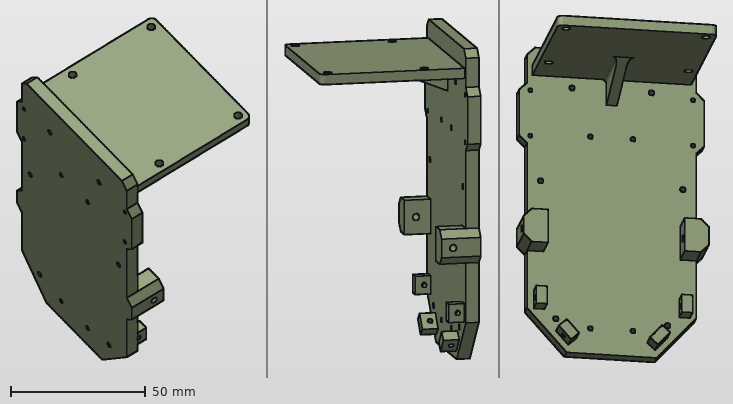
import cadquery as cq
import math

plate_height = 120.0
plate_thickness = 5.0
tab_reach = 3.0
overall_half_width = 70.0 / 2
plate_half_width = overall_half_width - tab_reach
top_chamfer = 3.0
bottom_half_width = 17.0
bevel_height = 16.7

upper_tab_bottom = 82.0
upper_tab_top = 106.0
lower_tab_bottom = 39.4
lower_tab_top = 52.5

shelf_end = 60.0
shelf_half_width = 30.0
shelf_bottom = 109.0
shelf_thickness = 3.8
shelf_corner_radius = 2.0
shelf_hole_diameter = 3.0
shelf_hole_half_span = 26.4
shelf_hole_rows = (19.5, 56.5)

gusset_thickness = 4.0
gusset_length = 25.0
gusset_height = 10.1
gusset_fillet = 1.9

lug_end = 15.0
lug_inner_half_span = 25.8
lug_hole_diameter = 2.5
lug_hole_y = 10.5

small_lug_end = 11.0
small_lug_length = 7.0
small_lug_thickness = 4.1
small_lug_hole_diameter = 1.8
small_lug_hole_y = 7.5
upright_lug_outer_x = 29.5
upright_lug_z = 20.0
bevel_lug_z = 5.6
bevel_lug_setback = 3.4

plate_holes = [
    (30.7, 103.0, 1.5),
    (30.7, 85.0, 1.5),
    (15.0, 104.9, 2.0),
    (26.9, 67.3, 2.0),
    (21.1, 13.1, 2.0),
    (8.0, 86.0, 1.8),
    (8.0, 10.1, 1.8),
]

overlap = 1.2


def extrude_back(points, y_start, y_end):
    """Extrude a closed XZ outline along +Y between two depths."""
    plane = cq.Workplane("XZ", origin=(0, y_start, 0))
    return plane.polyline(points).close().extrude(y_start - y_end)


def with_mirror(body):
    """Join a body with its mirror image about x = 0."""
    return body.union(body.mirror("YZ"))


def tab_side(bottom, top):
    """Right-hand outline of a side tab, from its lower root to its upper root."""
    return [
        (plate_half_width, bottom),
        (overall_half_width, bottom + tab_reach),
        (overall_half_width, top - tab_reach),
        (plate_half_width, top),
    ]


def make_plate():
    right_side = [
        (bottom_half_width, 0),
        (plate_half_width, bevel_height),
        *tab_side(lower_tab_bottom, lower_tab_top),
        *tab_side(upper_tab_bottom, upper_tab_top),
        (plate_half_width, plate_height - top_chamfer),
        (plate_half_width - top_chamfer, plate_height),
    ]
    left_side = [(-x, z) for x, z in reversed(right_side)]
    return extrude_back(right_side + left_side, 0, plate_thickness)


def make_shelf():
    shelf_start = plate_thickness - overlap
    shelf = cq.Workplane("XY", origin=(0, 0, shelf_bottom)).box(
        2 * shelf_half_width, shelf_end - shelf_start, shelf_thickness, centered=(True, False, False)
    )
    shelf = shelf.translate((0, shelf_start, 0))
    shelf = shelf.edges("|Z and >Y").fillet(shelf_corner_radius)
    hole_centers = [
        (side * shelf_hole_half_span, y) for side in (-1, 1) for y in shelf_hole_rows
    ]
    holes = (
        cq.Workplane("XY", origin=(0, 0, shelf_bottom))
        .pushPoints(hole_centers)
        .circle(shelf_hole_diameter / 2)
        .extrude(shelf_thickness)
    )
    return shelf.cut(holes)


def make_gusset():
    half = gusset_thickness / 2
    fillet_edge = half + gusset_fillet
    fillet_bottom = shelf_bottom - gusset_fillet
    gusset_bottom = shelf_bottom - gusset_height
    gusset_end = plate_thickness + gusset_length
    arc_offset = gusset_fillet * (1 - math.sqrt(0.5))
    rib = (
        cq.Workplane("XZ", origin=(0, plate_thickness, 0))
        .moveTo(-half, gusset_bottom)
        .lineTo(half, gusset_bottom)
        .lineTo(half, fillet_bottom)
        .threePointArc((half + arc_offset, shelf_bottom - arc_offset), (fillet_edge, shelf_bottom))
        .lineTo(-fillet_edge, shelf_bottom)
        .threePointArc((-half - arc_offset, shelf_bottom - arc_offset), (-half, fillet_bottom))
        .close()
        .extrude(-gusset_length)
    )
    triangle = (
        cq.Workplane("YZ")
        .polyline([
            (plate_thickness, gusset_bottom),
            (gusset_end, shelf_bottom),
            (plate_thickness, shelf_bottom),
        ])
        .close()
        .extrude(fillet_edge, both=True)
    )
    return rib.intersect(triangle)


def make_side_lug():
    outline = tab_side(lower_tab_bottom, lower_tab_top) + [
        (lug_inner_half_span, lower_tab_top),
        (lug_inner_half_span, lower_tab_bottom),
    ]
    lug = extrude_back(outline, plate_thickness - overlap, lug_end)
    lug_z = (lower_tab_bottom + lower_tab_top) / 2
    hole = (
        cq.Workplane("YZ")
        .center(lug_hole_y, lug_z)
        .circle(lug_hole_diameter / 2)
        .extrude(overall_half_width)
    )
    return lug.cut(hole)


def make_small_lug():
    """Rectangular lug with its outer face on x = 0, centred on z = 0, drilled along X."""
    lug_start = plate_thickness - overlap
    lug = (
        cq.Workplane("XY")
        .box(small_lug_thickness, small_lug_end - lug_start, small_lug_length, centered=(True, False, True))
        .translate((-small_lug_thickness / 2, lug_start, 0))
    )
    hole = (
        cq.Workplane("YZ")
        .center(small_lug_hole_y, 0)
        .circle(small_lug_hole_diameter / 2)
        .extrude(-small_lug_thickness)
    )
    return lug.cut(hole)


def make_bevel_lug():
    bevel_run = plate_half_width - bottom_half_width
    tilt = math.atan2(bevel_run, bevel_height)
    bevel_x = bottom_half_width + bevel_lug_z * math.tan(tilt)
    lug = make_small_lug().rotate((0, 0, 0), (0, 1, 0), math.degrees(tilt))
    return lug.translate((bevel_x - bevel_lug_setback, 0, bevel_lug_z))


def make_plate_holes():
    holes = cq.Workplane("XZ")
    for half_span, z, diameter in plate_holes:
        pair = (
            cq.Workplane("XZ")
            .pushPoints([(-half_span, z), (half_span, z)])
            .circle(diameter / 2)
            .extrude(-plate_thickness)
        )
        holes = holes.add(pair)
    return holes.combine()


upright_lug = make_small_lug().translate((upright_lug_outer_x, 0, upright_lug_z))

result = make_plate().cut(make_plate_holes())
result = result.union(make_shelf())
result = result.union(make_gusset())
for lug in (make_side_lug(), upright_lug, make_bevel_lug()):
    result = result.union(with_mirror(lug))